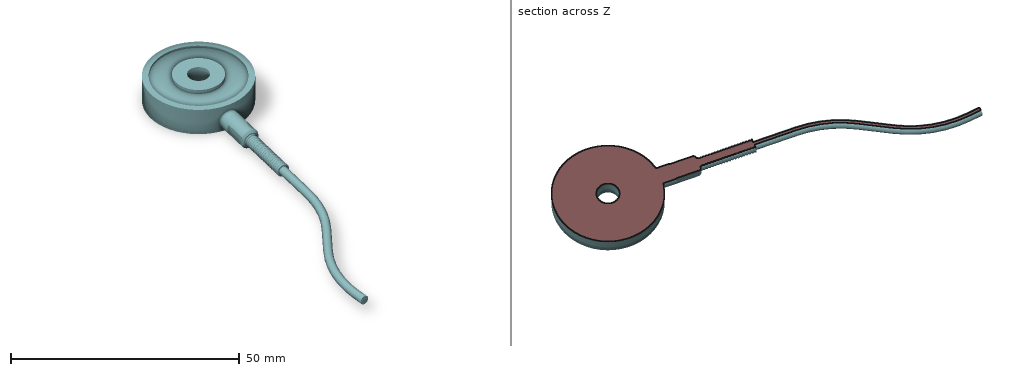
import cadquery as cq
import math

overall_length = 96.3

body_diameter = 24.9
body_height = 6.6
recess_diameter = 21.9
recess_depth = 0.6
boss_diameter = 11.7
boss_top = 7.1
bore_diameter = 5.0

axis_height = 2.6
fitting_diameter = 4.7
fitting_end = 21.4
fitting_chamfer = 0.5
flats_width = 4.0
flats_start = 15.4

relief_diameter = 3.1
relief_end = 34.5
valley_diameter = 2.8
rib_pitch = 0.7
rib_count = 18
valley_width = rib_pitch / 2
first_valley = 21.8

cable_diameter = 2.1
first_bend_start = 44.5
bend_radius = 26.0
slope_angle = 30.0
slope_length = 8.0
tip_angle = 7.5

body_radius = body_diameter / 2


def x_cylinder(diameter, start, end):
    """Cylinder on the cable axis between two X positions."""
    return (
        cq.Workplane("YZ", origin=(start, 0, axis_height))
        .circle(diameter / 2)
        .extrude(end - start)
    )


def make_body():
    """Disc with a recessed top face around a raised central boss."""
    recess_floor = body_height - recess_depth
    disc = cq.Workplane("XY").circle(body_radius).extrude(body_height)
    recess = (
        cq.Workplane("XY", origin=(0, 0, recess_floor))
        .circle(recess_diameter / 2)
        .extrude(recess_depth)
    )
    boss = cq.Workplane("XY").circle(boss_diameter / 2).extrude(boss_top)
    return disc.cut(recess).union(boss)


def make_fitting():
    """Round fitting, chamfered at its end and flattened on both Y sides."""
    root = body_radius - fitting_diameter / 2
    fitting = x_cylinder(fitting_diameter, root, fitting_end)
    fitting = fitting.faces(">X").chamfer(fitting_chamfer)
    flats_length = fitting_end - flats_start
    flats_envelope = cq.Workplane("XY").box(flats_length, flats_width, fitting_diameter)
    flats_envelope = flats_envelope.translate((flats_start + flats_length / 2, 0, axis_height))
    return x_cylinder(fitting_diameter, root, flats_start).union(fitting.intersect(flats_envelope))


def make_strain_relief():
    """Sleeve of rounded ribs and flat valleys between two end collars, turned about the cable axis."""
    valley_radius = valley_diameter / 2
    crest_radius = relief_diameter / 2
    profile = (
        cq.Workplane("XY")
        .moveTo(flats_start, 0)
        .lineTo(flats_start, crest_radius)
        .lineTo(first_valley, crest_radius)
        .lineTo(first_valley, valley_radius)
    )
    for index in range(rib_count):
        rib_start = first_valley + valley_width + index * rib_pitch
        rib_width = rib_pitch - valley_width
        crest = (rib_start + rib_width / 2, crest_radius)
        profile = profile.lineTo(rib_start, valley_radius)
        profile = profile.threePointArc(crest, (rib_start + rib_width, valley_radius))
    last_valley_end = first_valley + rib_count * rib_pitch + valley_width
    profile = (
        profile.lineTo(last_valley_end, valley_radius)
        .lineTo(last_valley_end, crest_radius)
        .lineTo(relief_end, crest_radius)
        .lineTo(relief_end, 0)
        .close()
    )
    return profile.revolve(360, (0, 0, 0), (1, 0, 0)).translate((0, 0, axis_height))


def bend_point(start, start_angle, end_angle):
    """Point reached along a bend; angles are headings in degrees from +X."""
    first = math.radians(start_angle)
    last = math.radians(end_angle)
    turn = math.copysign(1, end_angle - start_angle)
    return (
        start[0] + turn * bend_radius * (math.sin(last) - math.sin(first)),
        start[1] - turn * bend_radius * (math.cos(last) - math.cos(first)),
    )


def make_cable():
    """Round cable swept along straight runs joined by tangent bends."""
    slope = math.radians(slope_angle)
    tip = math.radians(tip_angle)
    bend_1_start = (first_bend_start, 0)
    bend_1_middle = bend_point(bend_1_start, 0, -slope_angle / 2)
    bend_1_end = bend_point(bend_1_start, 0, -slope_angle)
    bend_2_start = (
        bend_1_end[0] + slope_length * math.cos(slope),
        bend_1_end[1] - slope_length * math.sin(slope),
    )
    bend_2_middle = bend_point(bend_2_start, -slope_angle, (tip_angle - slope_angle) / 2)
    bend_2_end = bend_point(bend_2_start, -slope_angle, tip_angle)

    tip_x = overall_length - body_radius - cable_diameter / 2 * math.sin(tip)
    tip_y = bend_2_end[1] + (tip_x - bend_2_end[0]) * math.tan(tip)

    path = (
        cq.Workplane("XY", origin=(0, 0, axis_height))
        .moveTo(flats_start, 0)
        .lineTo(*bend_1_start)
        .threePointArc(bend_1_middle, bend_1_end)
        .lineTo(*bend_2_start)
        .threePointArc(bend_2_middle, bend_2_end)
        .lineTo(tip_x, tip_y)
    )
    profile = cq.Workplane("YZ", origin=(flats_start, 0, axis_height)).circle(cable_diameter / 2)
    return profile.sweep(path)


bore = cq.Workplane("XY").circle(bore_diameter / 2).extrude(boss_top)

result = (
    make_body()
    .union(make_fitting())
    .union(make_strain_relief())
    .union(make_cable())
    .cut(bore)
)